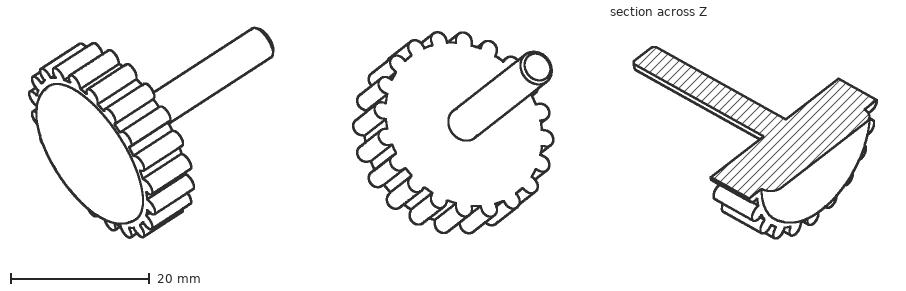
import cadquery as cq
import math


HEAD_DIAMETER = 25.0
HEAD_THICKNESS = 7.3
TOOTH_COUNT = 20
TIP_DIAMETER = 28.5
TOOTH_WIDTH = 2.5
TOOTH_TIP_RADIUS = TOOTH_WIDTH / 2

CAP_DIAMETER = 23.0
CAP_HEIGHT = 2.0
CAP_EDGE_RADIUS = CAP_HEIGHT

SHANK_DIAMETER = 5.0
SHANK_LENGTH = 25.0
SHANK_CHAMFER = 0.45


def tooth():
    """One tooth pointing to +Z: parallel flanks ending in a full round tip."""
    tip_height = TIP_DIAMETER / 2
    tip_center = tip_height - TOOTH_TIP_RADIUS
    foot_height = CAP_DIAMETER / 2
    return (
        cq.Workplane("XZ")
        .moveTo(-TOOTH_TIP_RADIUS, foot_height)
        .lineTo(-TOOTH_TIP_RADIUS, tip_center)
        .threePointArc((0, tip_height), (TOOTH_TIP_RADIUS, tip_center))
        .lineTo(TOOTH_TIP_RADIUS, foot_height)
        .close()
        .extrude(HEAD_THICKNESS)
    )


def head():
    """Disc with evenly spaced teeth around its rim."""
    body = cq.Workplane("XZ").circle(HEAD_DIAMETER / 2).extrude(HEAD_THICKNESS)
    single_tooth = tooth()
    for index in range(TOOTH_COUNT):
        angle = index * 360 / TOOTH_COUNT
        body = body.union(single_tooth.rotate((0, 0, 0), (0, 1, 0), angle))
    return body


def cap():
    """Flat-faced cap whose rim is a full quarter round."""
    flat_radius = CAP_DIAMETER / 2 - CAP_EDGE_RADIUS
    rear_y = -HEAD_THICKNESS
    front_y = rear_y - CAP_HEIGHT
    arc_offset = CAP_EDGE_RADIUS * math.sqrt(0.5)
    return (
        cq.Workplane("XY")
        .moveTo(0, rear_y)
        .lineTo(CAP_DIAMETER / 2, rear_y)
        .threePointArc((flat_radius + arc_offset, rear_y - arc_offset), (flat_radius, front_y))
        .lineTo(0, front_y)
        .close()
        .revolve(360, (0, 0, 0), (0, 1, 0))
    )


def shank():
    """Plain round shank with a chamfered end."""
    return (
        cq.Workplane("XZ")
        .circle(SHANK_DIAMETER / 2)
        .extrude(-SHANK_LENGTH)
        .faces(">Y")
        .chamfer(SHANK_CHAMFER)
    )


result = head().union(cap()).union(shank())